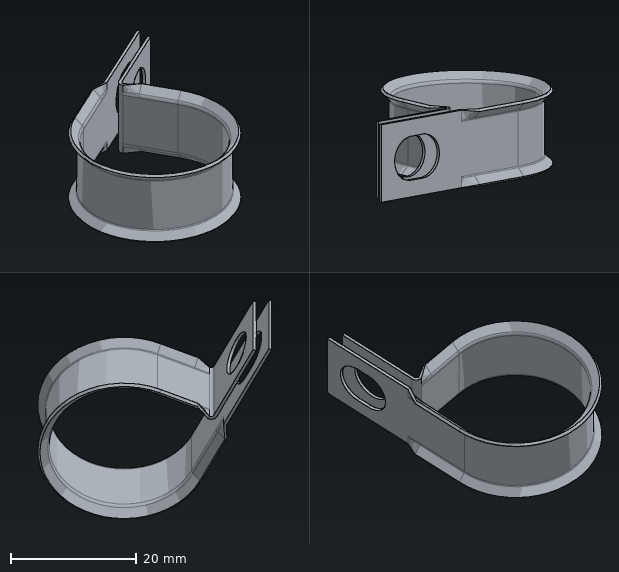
import cadquery as cq
import math

thickness = 0.55
width = 12.7
lip_radius = 13.8
band_outer = 12.5
band_inner = band_outer - thickness
lip_angle = 45
lip_bend_radius = 0.3

left_straight = 9.3
top_straight = 6.6
transition_length = 2.65

left_tab_end = 42.75 - lip_radius
right_tab_end = 27.7
tab_bend_inner = 0.5
hole_y = 21.45
hole_diameter = 7.2
slot_length = 9.5

half_width = width / 2
lip_tilt = math.radians(lip_angle)
tip_rise = thickness * math.sin(lip_tilt)
tip_outer_z = half_width - tip_rise
tip_inner_radius = lip_radius - thickness * math.cos(lip_tilt)
outer_corner_z = tip_outer_z - (lip_radius - band_outer) / math.tan(lip_tilt)
inner_corner_z = half_width - (tip_inner_radius - band_inner) / math.tan(lip_tilt)


def bend_points(corner_radius, corner_z, radius):
    """Start, middle and end of the rounded bend at one corner of the lip."""
    start_z = corner_z - radius * math.tan(lip_tilt / 2)

    def on_bend(angle):
        return (corner_radius + radius * (1 - math.cos(angle)), start_z + radius * math.sin(angle))

    return on_bend(0), on_bend(lip_tilt / 2), on_bend(lip_tilt)


inner_bend = bend_points(band_inner, inner_corner_z, lip_bend_radius + thickness)
outer_bend = bend_points(band_outer, outer_corner_z, lip_bend_radius)


def below(point):
    return (point[0], -point[1])


def lipped_section(plane):
    """Closed strip section with a flared lip along both edges."""
    inner_start, inner_mid, inner_end = inner_bend
    outer_start, outer_mid, outer_end = outer_bend
    inner_tip = (tip_inner_radius, half_width)
    outer_tip = (lip_radius, tip_outer_z)
    return (
        plane.moveTo(*below(inner_start))
        .lineTo(*inner_start)
        .threePointArc(inner_mid, inner_end)
        .lineTo(*inner_tip)
        .lineTo(*outer_tip)
        .lineTo(*outer_end)
        .threePointArc(outer_mid, outer_start)
        .lineTo(*below(outer_start))
        .threePointArc(below(outer_mid), below(outer_end))
        .lineTo(*below(outer_tip))
        .lineTo(*below(inner_tip))
        .lineTo(*below(inner_end))
        .threePointArc(below(inner_mid), below(inner_start))
        .close()
    )


def flat_section(plane):
    """Flat strip section with its edges split to pair with the lipped section."""
    inner_levels = [inner_bend[0][1], inner_bend[-1][1], half_width]
    outer_levels = [half_width, outer_bend[-1][1], outer_bend[0][1]]
    upper = [(band_inner, z) for z in inner_levels] + [(band_outer, z) for z in outer_levels]
    lower = [below(point) for point in reversed(upper)]
    return plane.polyline(lower[-1:] + upper + lower[:-1]).close()


def section_plane(y):
    return cq.Workplane("XZ", origin=(0, y, 0))


def lipped_arm(straight):
    """Straight lipped run toward +Y at +X, ending in a transition to flat strip."""
    run = lipped_section(section_plane(0)).extrude(-straight)
    start = lipped_section(section_plane(straight)).wire().val()
    end = flat_section(section_plane(straight + transition_length)).wire().val()
    transition = cq.Solid.makeLoft([start, end], True)
    return run.union(cq.Workplane(transition))


def left_tab():
    """Long flat tab in line with the -X side of the band, with an obround slot."""
    start_y = left_straight + transition_length
    tab = cq.Workplane("XY").box(thickness, left_tab_end - start_y, width, centered=(False, False, True))
    tab = tab.translate((-band_outer, start_y, 0))
    slot = cq.Workplane("YZ", origin=(-band_outer, hole_y, 0)).slot2D(slot_length, hole_diameter)
    return tab.cut(slot.extrude(thickness))


def right_tab():
    """Tab turned up from the +Y side of the band, with a round hole."""
    bend_outer = tab_bend_inner + thickness
    bend_x = -(top_straight + transition_length)
    bend_y = band_inner + bend_outer
    diagonal = math.sqrt(0.5)
    outer_x = bend_x - bend_outer
    inner_x = bend_x - tab_bend_inner
    tab = (
        cq.Workplane("XY", origin=(0, 0, -half_width))
        .moveTo(bend_x, band_inner)
        .threePointArc((bend_x - bend_outer * diagonal, bend_y - bend_outer * diagonal), (outer_x, bend_y))
        .lineTo(outer_x, right_tab_end)
        .lineTo(inner_x, right_tab_end)
        .lineTo(inner_x, bend_y)
        .threePointArc(
            (bend_x - tab_bend_inner * diagonal, bend_y - tab_bend_inner * diagonal),
            (bend_x, band_outer),
        )
        .close()
        .extrude(width)
    )
    hole = cq.Workplane("YZ", origin=(outer_x, hole_y, 0)).circle(hole_diameter / 2)
    return tab.cut(hole.extrude(thickness))


loop = lipped_section(section_plane(0)).revolve(270, (0, 0), (0, 1))
loop = loop.rotate((0, 0, 0), (0, 0, 1), 180)

left_arm = lipped_arm(left_straight).mirror("YZ")
top_arm = lipped_arm(top_straight).rotate((0, 0, 0), (0, 0, 1), 90)

result = loop.union(left_arm).union(top_arm).union(left_tab()).union(right_tab())